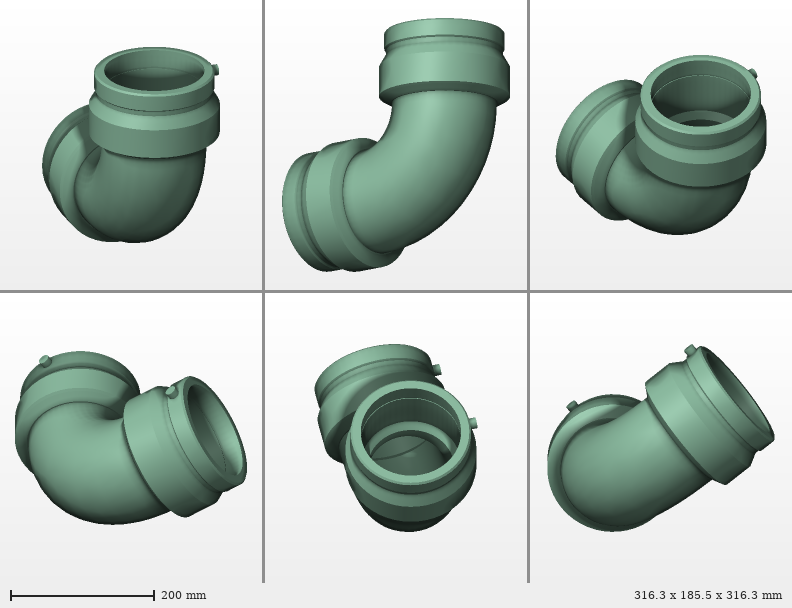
import cadquery as cq

overall_size = 316.3
overall_depth = 185.5
body_diameter = 183.0
ring_diameter = 168.3
groove_diameter = 163.2
pipe_diameter = 146.5
socket_bore = 140.0
pipe_bore = 121.8

mouth_chamfer = 2.5
ring_end = 24.5
groove_start = 26.5
groove_end = 33.5
body_start = 50.5
body_end = 92.7
shoulder_start = 95.0
socket_length = 102.2
bore_end = 93.3

shoulder_diameter = 176.0
neck_diameter = 150.0

seal_start = 25.3
seal_width = 3.2
seal_depth = 1.0

nipple_diameter = 15.5
nipple_offset = 13.3
nipple_embed = 3.2
nipple_tip = overall_depth - body_diameter / 2

axis_reach = overall_size - body_diameter / 2
bend_radius = axis_reach - socket_length


def revolve_profile(points):
    """Revolve (radius, depth) points about Z; depth runs downward from the open face."""
    outline = [(radius, -depth) for radius, depth in points]
    return cq.Workplane("XZ").polyline(outline).close().revolve(360, (0, 0), (0, 1))


def socket_outside():
    body_radius = body_diameter / 2
    ring_radius = ring_diameter / 2
    groove_radius = groove_diameter / 2
    return revolve_profile([
        (0, 0),
        (ring_radius - mouth_chamfer, 0),
        (ring_radius, mouth_chamfer),
        (ring_radius, ring_end),
        (groove_radius, groove_start),
        (groove_radius, groove_end),
        (body_radius, body_start),
        (body_radius, body_end),
        (shoulder_diameter / 2, shoulder_start),
        (neck_diameter / 2, socket_length),
        (0, socket_length),
    ])


def socket_cavity():
    bore_radius = socket_bore / 2
    seal_radius = bore_radius + seal_depth
    seal_end = seal_start + seal_width
    return revolve_profile([
        (0, 0),
        (bore_radius, 0),
        (bore_radius, seal_start),
        (seal_radius, seal_start),
        (seal_radius, seal_end),
        (bore_radius, seal_end),
        (bore_radius, bore_end),
        (pipe_bore / 2, socket_length),
        (0, socket_length),
    ])


def nipple():
    root = groove_diameter / 2 - nipple_embed
    plane = cq.Workplane("XZ", origin=(0, root, -nipple_offset))
    return plane.circle(nipple_diameter / 2).extrude(root - nipple_tip)


def place_on_top(shape):
    return shape.translate((0, 0, axis_reach))


def place_on_side(shape):
    return place_on_top(shape).rotate((0, 0, 0), (0, 1, 0), -90)


def bend(diameter):
    """Quarter torus joining the rear ends of the two sockets."""
    section = cq.Workplane("XY", origin=(0, 0, bend_radius)).circle(diameter / 2)
    return section.revolve(90, (-bend_radius, 0), (-bend_radius, 1))


socket = socket_outside().union(nipple())
cavity = socket_cavity()

result = bend(pipe_diameter)
for place in (place_on_top, place_on_side):
    result = result.union(place(socket))
result = result.cut(bend(pipe_bore))
for place in (place_on_top, place_on_side):
    result = result.cut(place(cavity))